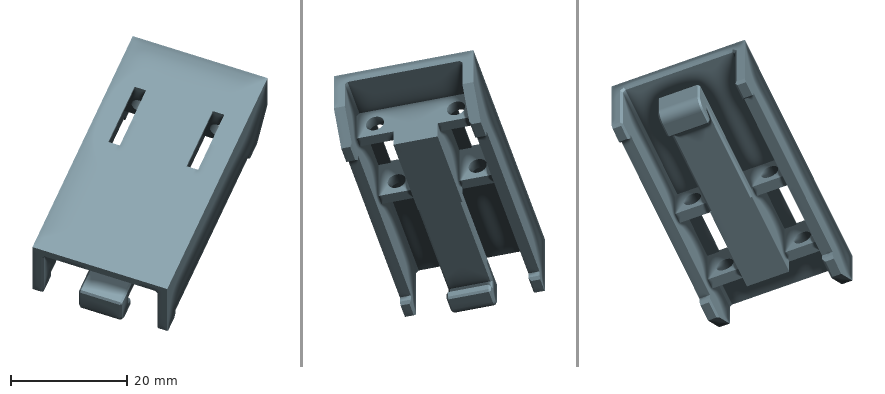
import cadquery as cq


length = 48.0
width = 24.8
height = 14.6
roof_thickness = 2.0
wall_thickness = 1.95
foot_depth = 12.7
recess_depth = 11.25
front_foot_end = 3.85
rear_foot_start = 39.15
rear_bevel = 5.0
edge_chamfer = 0.4
foot_chamfer = 0.5
corner_chamfer = 0.5

block_depth = 7.95
block_wall = 2.0
pocket_roof = 0.5

slot_width = 2.1
slot_start = 25.55
slot_length = 12.55
hole_diameter = 3.2
hole_spacing = 14.4
hole_depth = 5.2

hook_width = 7.85
arm_top_depth = 8.65
arm_bottom_depth = 11.15
leg_thickness = 3.55
hook_reach = 4.85
lip_root_depth = 12.5
lip_tip_depth = 13.15
nose_radius = 1.9
hook_chamfer = 0.35

inner_width = width - 2 * wall_thickness
pocket_width = (inner_width - hook_width) / 2
pocket_x = (inner_width + hook_width) / 4
block_start = slot_start - block_wall
block_end = slot_start + slot_length + block_wall
overcut = 0.5


def box(x_size, y_start, y_end, z_bottom, z_top, x_center=0.0):
    """Box given by its width about x_center and its limits along Y and Z."""
    return (
        cq.Workplane("XY")
        .box(x_size, y_end - y_start, z_top - z_bottom, centered=(True, False, False))
        .translate((x_center, y_start, z_bottom))
    )


def make_shell():
    """Roof and two side walls, chamfered around the front opening, with bevelled feet below."""
    channel = box(inner_width, 0, length, -foot_depth, -roof_thickness)
    channel = channel.edges("|Y and >Z").chamfer(corner_chamfer)
    shell = box(width, 0, length, -foot_depth, 0).cut(channel)
    channel_edges = cq.selectors.BoxSelector(
        (-width / 2 + edge_chamfer, -overcut, -foot_depth - overcut),
        (width / 2 - edge_chamfer, length - overcut, -edge_chamfer),
    )
    inner_bottom_edges = shell.faces("<Z").edges("|Y").edges(channel_edges)
    shell = shell.faces("<Y").edges(channel_edges).edges("not <Z").add(inner_bottom_edges)
    shell = shell.chamfer(edge_chamfer)

    side_outline = [
        (0, 0),
        (length, 0),
        (length, rear_bevel - foot_depth),
        (length - rear_bevel, -foot_depth),
        (rear_foot_start + foot_chamfer, -foot_depth),
        (rear_foot_start, foot_chamfer - foot_depth),
        (rear_foot_start, -recess_depth),
        (front_foot_end, -recess_depth),
        (front_foot_end, foot_chamfer - foot_depth),
        (front_foot_end - foot_chamfer, -foot_depth),
        (foot_chamfer, -foot_depth),
        (0, foot_chamfer - foot_depth),
    ]
    side_prism = cq.Workplane("YZ").polyline(side_outline).close().extrude(width / 2, both=True)
    return shell.intersect(side_prism)


def make_hook():
    """Arm joined to the block by a web, turned down at the front into a leg with a lip."""
    profile = (
        cq.Workplane("YZ")
        .moveTo(block_end, -arm_top_depth)
        .lineTo(hook_chamfer, -arm_top_depth)
        .lineTo(0, -arm_top_depth - hook_chamfer)
        .lineTo(0, nose_radius - height)
        .radiusArc((nose_radius, -height), -nose_radius)
        .lineTo(hook_reach - hook_chamfer, -height)
        .lineTo(hook_reach, hook_chamfer - height)
        .lineTo(hook_reach, -lip_tip_depth)
        .lineTo(leg_thickness, -lip_root_depth)
        .lineTo(leg_thickness, -arm_bottom_depth)
        .lineTo(block_end, -arm_bottom_depth)
        .close()
    )
    hook = profile.extrude(hook_width / 2, both=True)
    hook = hook.faces("<X or >X").edges("not >Y").chamfer(hook_chamfer)
    web = box(hook_width, block_start, block_end, -arm_bottom_depth, -block_depth)
    return hook.union(web)


def make_openings(side):
    """Pocket open downwards, slot through the roof and lengthwise hole on one side (-1 or 1)."""
    slot_end = slot_start + slot_length
    hole_x = side * hole_spacing / 2
    pocket = box(pocket_width, slot_start, slot_end, -height, -pocket_roof, side * pocket_x)
    slot = box(slot_width, slot_start, slot_end, -height, overcut, hole_x)
    hole = (
        cq.Workplane("XZ", origin=(hole_x, 0, -hole_depth))
        .circle(hole_diameter / 2)
        .extrude(-length)
    )
    return pocket.union(slot).union(hole)


block = box(inner_width, block_start, block_end, -block_depth, -roof_thickness)

result = make_shell().union(block).union(make_hook())
for side in (-1, 1):
    result = result.cut(make_openings(side))